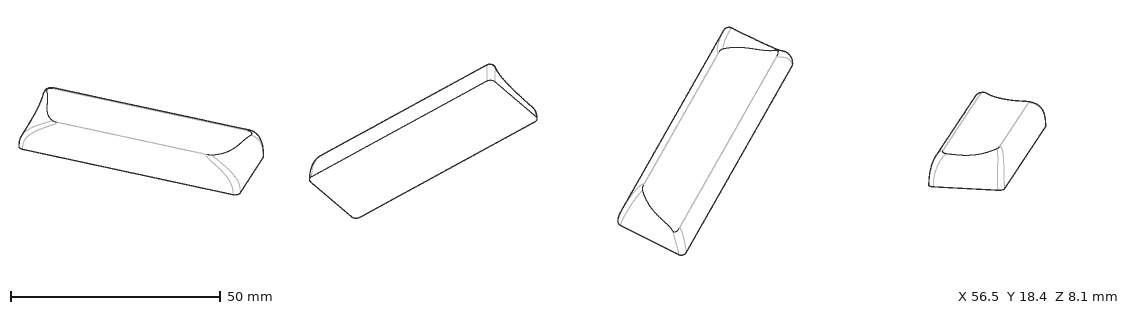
import cadquery as cq
import math

length = 56.45
width = 18.4
height = 8.1

back_inset = 3.0
front_inset = 2.65
back_corner_inset = 0.7
front_corner_inset = 8.35
end_hollow = 1.5
end_lean_power = 2.6

base_corner_radius = 1.35
top_corner_radius = 1.15

dish_depth = 1.0
rim_land = 0.05

section_count = 7


def outline(side_lean, end_lean, corner_radius):
    """Rounded outline with hollow ends; each lean runs from 0 at the base to 1 at the top."""
    back_y = width / 2 - back_inset * side_lean
    front_y = -width / 2 + front_inset * side_lean
    back_x = length / 2 - back_corner_inset * side_lean
    front_x = length / 2 - front_corner_inset * end_lean
    middle_x = (back_x + front_x) / 2 - end_hollow * end_lean
    middle_y = (back_y + front_y) / 2
    path = cq.Workplane("XY").moveTo(-front_x, front_y).lineTo(front_x, front_y)
    if end_lean > 0:
        path = path.threePointArc((middle_x, middle_y), (back_x, back_y))
        path = path.lineTo(-back_x, back_y)
        path = path.threePointArc((-middle_x, middle_y), (-front_x, front_y))
    else:
        path = path.lineTo(back_x, back_y).lineTo(-back_x, back_y)
    wire = path.close().val()
    return cq.Sketch().face(wire).vertices().fillet(corner_radius)


def make_body():
    """Smooth loft with elliptical long sides and ends that lean in along a power curve."""
    sections = []
    for index in range(section_count):
        angle = math.pi / 2 * index / (section_count - 1)
        rise = math.sin(angle)
        side_lean = 1 - math.cos(angle)
        end_lean = rise**end_lean_power
        radius = base_corner_radius + (top_corner_radius - base_corner_radius) * side_lean
        section = outline(side_lean, end_lean, radius)
        sections.append(section.moved(cq.Location(cq.Vector(0, 0, height * rise))))
    return cq.Workplane("XY").placeSketch(*sections).loft()


def make_dish():
    """Long cylinder that dips into the top between its front and back edges."""
    chord = width - back_inset - front_inset - 2 * rim_land
    radius = (chord**2 / 4 + dish_depth**2) / (2 * dish_depth)
    middle_y = (front_inset - back_inset) / 2
    return (
        cq.Workplane("YZ")
        .center(middle_y, height - dish_depth + radius)
        .circle(radius)
        .extrude(length / 2, both=True)
    )


result = make_body().cut(make_dish())